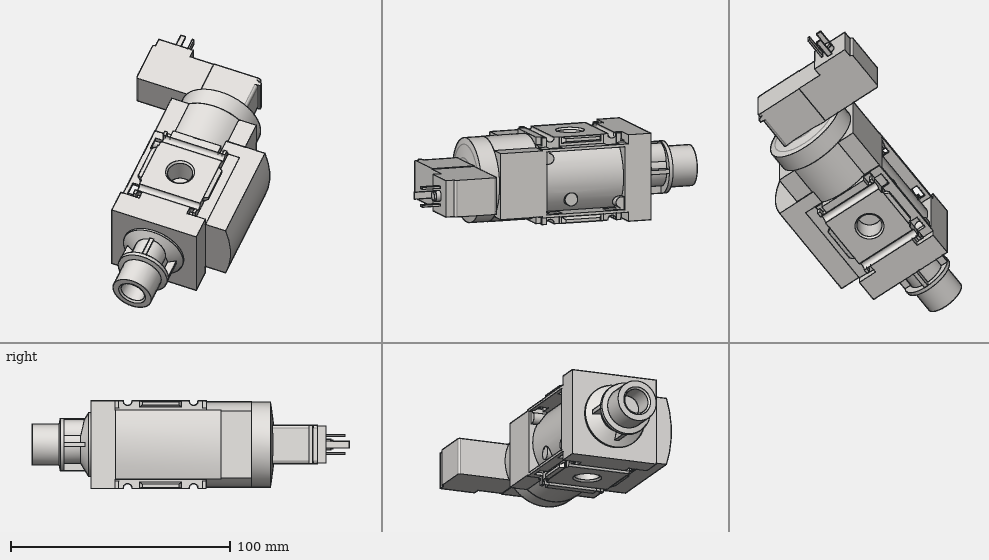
import cadquery as cq


HALF_WIDTH = 20.8
HALF_HEIGHT = 20.1
FRONT_FACE_Y = -31.8
MID_FRONT_Y = -20.8
MID_BACK_Y = 20.9
MID_HALF_HEIGHT = 15.85
REAR_BACK_Y = 41.4
REAR_HALF_HEIGHT = 15.3
REAR_DIAMETER = 39.2

POCKET_FRONT_Y = -19.1
POCKET_BACK_Y = 18.9
POCKET_HALF_HEIGHT = 14.6
CORE_DIAMETER = 38.0
TONGUE_DIAMETER = 5.0
TONGUE_Y = 17.6
TONGUE_Z = 11.2
TONGUE_FACE_X = -19.9
TONGUE_WEB_Y = 17.0
STUB_DIAMETER = 6.1
STUB_Y = 6.0
STUB_Z = -8.6
STUB_FACE_X = -18.3

PAD_HALF_WIDTH = 15.25
PORT_DIAMETER = 11.45
PORT_RIM_DIAMETER = 13.2
RIM_ANGLE = 45.0
PORT_DEPTH = 12.0
GROOVE_DIAMETER = 3.8
GROOVE_Y = 15.05
GROOVE_CENTRE_DROP = 0.3
NOTCH_INNER_X = 11.75
NOTCH_INNER_Y = 17.0
NOTCH_FLOOR_Z = 16.6
KEY_INNER_X = 13.9
KEY_OUTER_Y = 19.2
WING_TIP_X = 17.25
WING_ROOT_HALF_LENGTH = 9.6
WING_TIP_HALF_LENGTH = 8.3
WING_ROOT_BOTTOM_Z = 17.1
WING_TIP_BOTTOM_Z = 18.1
WING_TIP_TOP_Z = 19.5
WING_ROOT_TOP_Z = 19.9
SLOT_OUTER_X = 18.9
SLOT_INNER_X = 14.7
SLOT_NEAR_Y = 10.8
SLOT_FAR_Y = 17.0

COVER_TIP_X = 33.1
COVER_EDGE_X = 30.65
COVER_HALF_HEIGHT = 15.8
COVER_FRONT_Y = -20.5
COVER_BACK_Y = 27.6

NOZZLE_END_Y = -58.6
NOZZLE_DIAMETER = 18.85
FLANGE_DIAMETER = 29.4
FLANGE_THICKNESS = 1.0
CONE_LENGTH = 3.7
NECK_DIAMETER = 17.2
COLLAR_DIAMETER = 24.0
COLLAR_BACK_Y = -44.0
COLLAR_FRONT_Y = -45.8
COLLAR_BEVEL_LENGTH = 0.5
CHANNEL_DIAMETER = 15.2
CHANNEL_Z = 3.8
RIB_THICKNESS = 1.9

CAP_DIAMETER = 39.0
CAP_BACK_Y = 50.1
DOME_STEP_DIAMETER = 33.0
DOME_STEP_Y = 50.6
DOME_TOP_DIAMETER = 20.7
DOME_TOP_Y = 51.4

COIL_LEFT_X = -42.1
COIL_RIGHT_X = 11.0
COIL_FRONT_Y = 51.0
COIL_BACK_Y = 71.5
COIL_SPLIT_X = -12.2
COIL_HALF_HEIGHT = 8.85
HOUSING_HALF_HEIGHT = 8.5
COIL_LEFT_ROUND = 1.0
COIL_RIGHT_ROUND = 1.4
LATCH_TIP_X = 12.1
LATCH_TIP_FRONT_Y = 67.8
LATCH_TIP_BACK_Y = 69.2
LATCH_ROOT_X = 9.0
LATCH_ROOT_FRONT_Y = 67.5
LATCH_ROOT_BACK_Y = 70.4

PLUG_LEFT_X = -40.9
PLUG_RIGHT_X = -23.9
PLUG_BACK_Y = 75.5
CONTACT_X = -32.4
CONTACT_WIDTH = 2.4
CONTACT_THICKNESS = 0.9
CONTACT_OFFSET_Z = 4.15
CONTACT_TIP_Y = 84.2
EARTH_X = -28.25
EARTH_WIDTH = 3.2
EARTH_THICKNESS = 0.9
EARTH_TIP_Y = 86.1
POST_DIAMETER = 5.0
POST_LENGTH = 2.2
POST_TIP_DIAMETER = 4.0
POST_TIP_LENGTH = 0.9


def block(x0, x1, y0, y1, z0, z1):
    """Box between two corners."""
    return cq.Workplane("XY").box(x1 - x0, y1 - y0, z1 - z0, centered=False).translate((x0, y0, z0))


def rod_y(diameter, y0, y1, x=0.0, z=0.0):
    """Cylinder along Y."""
    return cq.Workplane("XZ", origin=(x, y0, z)).circle(diameter / 2).extrude(y0 - y1)


def rod_x(diameter, x0, x1, y, z):
    """Cylinder along X."""
    return cq.Workplane("YZ", origin=(x0, y, z)).circle(diameter / 2).extrude(x1 - x0)


def half_turn(shape):
    """Copy turned 180 degrees about the X axis."""
    return shape.rotate((0, 0, 0), (1, 0, 0), 180)


def with_port_bore(shape, end_plane):
    """Drill a blind port with a countersunk rim at the origin of end_plane, its normal facing out."""
    rim = (PORT_RIM_DIAMETER - PORT_DIAMETER) / 2
    bore = end_plane.circle(PORT_DIAMETER / 2).extrude(-PORT_DEPTH)
    countersink = end_plane.circle(PORT_RIM_DIAMETER / 2).extrude(-rim, taper=RIM_ANGLE)
    return shape.cut(bore).cut(countersink)


def make_body():
    front = block(-HALF_WIDTH, HALF_WIDTH, FRONT_FACE_Y, MID_FRONT_Y, -HALF_HEIGHT, HALF_HEIGHT)
    middle = block(-HALF_WIDTH, HALF_WIDTH, MID_FRONT_Y, MID_BACK_Y, -MID_HALF_HEIGHT, MID_HALF_HEIGHT)
    rear = block(-HALF_WIDTH, HALF_WIDTH, MID_BACK_Y, REAR_BACK_Y, -REAR_HALF_HEIGHT, REAR_HALF_HEIGHT)
    barrel = rod_y(REAR_DIAMETER, MID_BACK_Y, REAR_BACK_Y)
    return front.union(middle).union(rear).union(barrel)


def make_tongues():
    """Rounded tongues in two diagonally opposite corners of the side pocket."""
    tongue = rod_x(TONGUE_DIAMETER, TONGUE_FACE_X, 0, TONGUE_Y, TONGUE_Z)
    tongue = tongue.union(
        block(TONGUE_FACE_X, 0, TONGUE_Y, MID_BACK_Y, TONGUE_Z - TONGUE_DIAMETER / 2, TONGUE_Z)
    )
    tongue = tongue.union(
        block(TONGUE_FACE_X, 0, TONGUE_WEB_Y, MID_BACK_Y, TONGUE_Z, POCKET_HALF_HEIGHT)
    )
    return tongue.union(half_turn(tongue))


def make_side_pocket():
    """Material removed from the -X side, leaving the core, the stub and the two tongues."""
    pocket = block(
        -HALF_WIDTH, 0, POCKET_FRONT_Y, POCKET_BACK_Y, -POCKET_HALF_HEIGHT, POCKET_HALF_HEIGHT
    )
    pocket = pocket.cut(rod_y(CORE_DIAMETER, POCKET_FRONT_Y, POCKET_BACK_Y))
    pocket = pocket.cut(rod_x(STUB_DIAMETER, STUB_FACE_X, 0, STUB_Y, STUB_Z))
    return pocket.cut(make_tongues())


def make_wings():
    """Tapered lips on both flanks of the pad, thinning towards their tips."""
    outline = [
        (-PAD_HALF_WIDTH, WING_ROOT_HALF_LENGTH),
        (-WING_TIP_X, WING_TIP_HALF_LENGTH),
        (-WING_TIP_X, -WING_TIP_HALF_LENGTH),
        (-PAD_HALF_WIDTH, -WING_ROOT_HALF_LENGTH),
        (PAD_HALF_WIDTH, -WING_ROOT_HALF_LENGTH),
        (WING_TIP_X, -WING_TIP_HALF_LENGTH),
        (WING_TIP_X, WING_TIP_HALF_LENGTH),
        (PAD_HALF_WIDTH, WING_ROOT_HALF_LENGTH),
    ]
    section = [
        (-WING_TIP_X, WING_TIP_BOTTOM_Z),
        (-PAD_HALF_WIDTH, WING_ROOT_BOTTOM_Z),
        (PAD_HALF_WIDTH, WING_ROOT_BOTTOM_Z),
        (WING_TIP_X, WING_TIP_BOTTOM_Z),
        (WING_TIP_X, WING_TIP_TOP_Z),
        (PAD_HALF_WIDTH, WING_ROOT_TOP_Z),
        (-PAD_HALF_WIDTH, WING_ROOT_TOP_Z),
        (-WING_TIP_X, WING_TIP_TOP_Z),
    ]
    plate = cq.Workplane("XY").polyline(outline).close().extrude(HALF_HEIGHT)
    return plate.intersect(
        cq.Workplane("XZ").polyline(section).close().extrude(WING_ROOT_HALF_LENGTH, both=True)
    )


def make_pad():
    """Port pad on the +Z side with grooves, keyed corner notches and wings."""
    pad = block(-PAD_HALF_WIDTH, PAD_HALF_WIDTH, MID_FRONT_Y, MID_BACK_Y, 0, HALF_HEIGHT)
    groove_z = HALF_HEIGHT - GROOVE_CENTRE_DROP
    groove_radius = GROOVE_DIAMETER / 2
    for side_y in (-1, 1):
        groove_y = side_y * GROOVE_Y
        pad = pad.cut(rod_x(GROOVE_DIAMETER, -PAD_HALF_WIDTH, PAD_HALF_WIDTH, groove_y, groove_z))
        pad = pad.cut(
            block(
                -PAD_HALF_WIDTH, PAD_HALF_WIDTH,
                groove_y - groove_radius, groove_y + groove_radius,
                groove_z, HALF_HEIGHT,
            )
        )
    notch = block(NOTCH_INNER_X, PAD_HALF_WIDTH, NOTCH_INNER_Y, MID_BACK_Y, NOTCH_FLOOR_Z, HALF_HEIGHT)
    key = block(KEY_INNER_X, PAD_HALF_WIDTH, NOTCH_INNER_Y, KEY_OUTER_Y, NOTCH_FLOOR_Z, HALF_HEIGHT)
    notch = notch.cut(key)
    for mirrored in (notch, notch.mirror("YZ")):
        pad = pad.cut(mirrored).cut(mirrored.mirror("XZ"))
    return pad.union(make_wings())


def make_slots():
    """Two openings beside each pad that reach through into the side pocket."""
    slot = block(-SLOT_OUTER_X, -SLOT_INNER_X, SLOT_NEAR_Y, SLOT_FAR_Y, 0, HALF_HEIGHT)
    slot = slot.cut(rod_y(CORE_DIAMETER, POCKET_FRONT_Y, POCKET_BACK_Y))
    slots = slot.union(slot.mirror("XZ"))
    slots = slots.union(slots.mirror("XY"))
    return slots.cut(make_tongues())


def make_cover():
    return (
        cq.Workplane("XZ", origin=(0, COVER_FRONT_Y, 0))
        .moveTo(0, -COVER_HALF_HEIGHT)
        .lineTo(COVER_EDGE_X, -COVER_HALF_HEIGHT)
        .threePointArc((COVER_TIP_X, 0), (COVER_EDGE_X, COVER_HALF_HEIGHT))
        .lineTo(0, COVER_HALF_HEIGHT)
        .close()
        .extrude(COVER_FRONT_Y - COVER_BACK_Y)
    )


def make_nozzle():
    flange_y = FRONT_FACE_Y - FLANGE_THICKNESS
    neck_y = flange_y - CONE_LENGTH
    profile = [
        (0, FRONT_FACE_Y),
        (FLANGE_DIAMETER / 2, FRONT_FACE_Y),
        (FLANGE_DIAMETER / 2, flange_y),
        (NECK_DIAMETER / 2, neck_y),
        (NECK_DIAMETER / 2, COLLAR_BACK_Y),
        (COLLAR_DIAMETER / 2, COLLAR_BACK_Y),
        (COLLAR_DIAMETER / 2, COLLAR_FRONT_Y),
        (NOZZLE_DIAMETER / 2, COLLAR_FRONT_Y - COLLAR_BEVEL_LENGTH),
        (NOZZLE_DIAMETER / 2, NOZZLE_END_Y),
        (0, NOZZLE_END_Y),
    ]
    nozzle = cq.Workplane("XY").polyline(profile).close().revolve(360, (0, 0), (0, 1))
    nozzle = nozzle.union(rod_y(CHANNEL_DIAMETER, COLLAR_BACK_Y, FRONT_FACE_Y, z=CHANNEL_Z))
    half_rib = RIB_THICKNESS / 2
    reach = COLLAR_DIAMETER / 2
    nozzle = nozzle.union(block(-reach, reach, COLLAR_BACK_Y, FRONT_FACE_Y, -half_rib, half_rib))
    nozzle = nozzle.union(block(-half_rib, half_rib, COLLAR_BACK_Y, FRONT_FACE_Y, -reach, reach))
    return nozzle


def make_cap():
    profile = [
        (0, REAR_BACK_Y),
        (CAP_DIAMETER / 2, REAR_BACK_Y),
        (CAP_DIAMETER / 2, CAP_BACK_Y),
        (DOME_STEP_DIAMETER / 2, DOME_STEP_Y),
        (DOME_TOP_DIAMETER / 2, DOME_TOP_Y),
        (0, DOME_TOP_Y),
    ]
    return cq.Workplane("XY").polyline(profile).close().revolve(360, (0, 0), (0, 1))


def make_coil():
    """Slightly slimmer plug housing on the left, coil with a latch ridge on the right."""
    housing = block(
        COIL_LEFT_X, COIL_SPLIT_X, COIL_FRONT_Y, COIL_BACK_Y, -HOUSING_HALF_HEIGHT, HOUSING_HALF_HEIGHT
    )
    housing = housing.edges("<X and |Z").fillet(COIL_LEFT_ROUND)
    coil = block(
        COIL_SPLIT_X, COIL_RIGHT_X, COIL_FRONT_Y, COIL_BACK_Y, -COIL_HALF_HEIGHT, COIL_HALF_HEIGHT
    )
    coil = coil.edges(">X and |Y").fillet(COIL_RIGHT_ROUND)
    latch_outline = [
        (LATCH_ROOT_X, LATCH_ROOT_FRONT_Y),
        (LATCH_TIP_X, LATCH_TIP_FRONT_Y),
        (LATCH_TIP_X, LATCH_TIP_BACK_Y),
        (LATCH_ROOT_X, LATCH_ROOT_BACK_Y),
    ]
    latch = cq.Workplane("XY").polyline(latch_outline).close().extrude(COIL_HALF_HEIGHT, both=True)
    return coil.union(latch).union(housing)


def make_plug():
    plug = block(
        PLUG_LEFT_X, PLUG_RIGHT_X, COIL_FRONT_Y, PLUG_BACK_Y, -HOUSING_HALF_HEIGHT, HOUSING_HALF_HEIGHT
    )
    post_y = PLUG_BACK_Y + POST_LENGTH
    plug = plug.union(rod_y(POST_DIAMETER, COIL_BACK_Y, post_y, CONTACT_X))
    plug = plug.union(rod_y(POST_TIP_DIAMETER, post_y, post_y + POST_TIP_LENGTH, CONTACT_X))
    for side_z in (-1, 1):
        contact = cq.Workplane("XY").box(
            CONTACT_WIDTH, CONTACT_TIP_Y - COIL_BACK_Y, CONTACT_THICKNESS, centered=(True, False, True)
        )
        plug = plug.union(contact.translate((CONTACT_X, COIL_BACK_Y, side_z * CONTACT_OFFSET_Z)))
    earth = cq.Workplane("XY").box(
        EARTH_THICKNESS, EARTH_TIP_Y - COIL_BACK_Y, EARTH_WIDTH, centered=(True, False, True)
    )
    return plug.union(earth.translate((EARTH_X, COIL_BACK_Y, 0)))


pad = make_pad()
result = make_body().union(pad).union(half_turn(pad))
result = result.cut(make_side_pocket()).cut(make_slots())
for part in (make_cover(), make_nozzle(), make_cap(), make_coil(), make_plug()):
    result = result.union(part)

top_port_plane = cq.Workplane("XY", origin=(0, 0, HALF_HEIGHT))
bottom_port_plane = cq.Workplane("XY", origin=(0, 0, -HALF_HEIGHT)).transformed(rotate=(180, 0, 0))
nozzle_plane = cq.Workplane("XZ", origin=(0, NOZZLE_END_Y, 0))
for end_plane in (top_port_plane, bottom_port_plane, nozzle_plane):
    result = with_port_bore(result, end_plane)